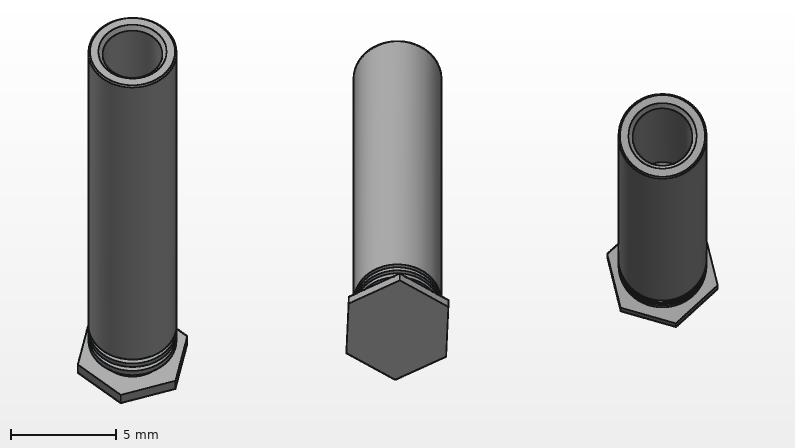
import cadquery as cq
import math

total_height = 23.8
head_across_flats = 4.75
head_thickness = 0.65
body_diameter = 4.2
top_chamfer = 0.079

neck_diameter = 3.17
neck_top = 1.43

groove_diameter = 3.7
groove_width = 0.29
groove_count = 2
groove_pitch = 2 * groove_width
first_groove_bottom = 1.76

bore_diameter = 2.83
bore_depth = 9.52
drill_point_angle = 118.0
countersink_diameter = 3.25
countersink_depth = (countersink_diameter - bore_diameter) / 2


def cylinder(diameter, bottom, top):
    """Solid cylinder on the Z axis between two heights."""
    return cq.Workplane("XY").workplane(offset=bottom).circle(diameter / 2).extrude(top - bottom)


def make_head():
    across_corners = head_across_flats / math.cos(math.pi / 6)
    return cq.Workplane("XY").polygon(6, across_corners).extrude(head_thickness)


def make_body():
    body = cylinder(body_diameter, neck_top, total_height)
    return body.faces(">Z").edges().chamfer(top_chamfer)


def make_groove(bottom):
    """Ring removed from the body to leave one groove."""
    top = bottom + groove_width
    return cylinder(body_diameter, bottom, top).cut(cylinder(groove_diameter, bottom, top))


def make_bore():
    """Revolved cutter: countersink, straight bore and conical bottom."""
    bore_radius = bore_diameter / 2
    bore_bottom = total_height - bore_depth
    point_depth = bore_radius / math.tan(math.radians(drill_point_angle / 2))
    return (
        cq.Workplane("XZ")
        .moveTo(0, total_height)
        .lineTo(countersink_diameter / 2, total_height)
        .lineTo(bore_radius, total_height - countersink_depth)
        .lineTo(bore_radius, bore_bottom)
        .lineTo(0, bore_bottom - point_depth)
        .close()
        .revolve(360, (0, 0, 0), (0, 1, 0))
    )


neck = cylinder(neck_diameter, head_thickness, neck_top)
result = make_head().union(neck).union(make_body())
for index in range(groove_count):
    result = result.cut(make_groove(first_groove_bottom + index * groove_pitch))
result = result.cut(make_bore())